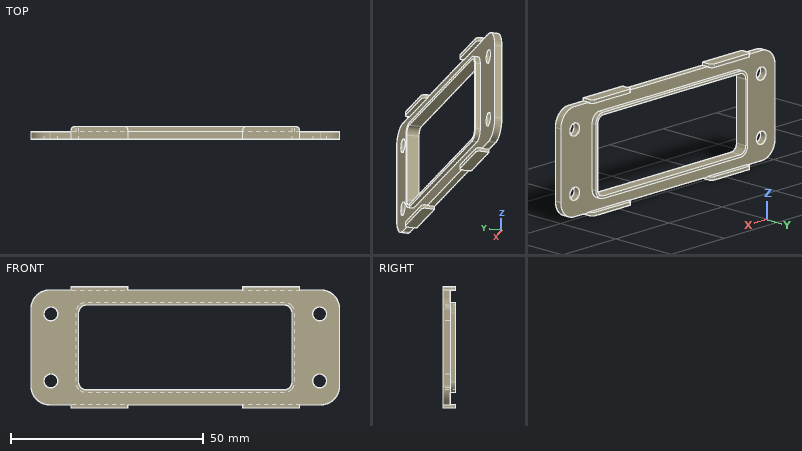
import cadquery as cq

plate_length = 80.4
plate_height = 30.0
plate_thickness = 2.0
plate_corner_radius = 5.0

total_depth = 3.4
total_height = 31.6

window_length = 55.5
window_height = 22.0
window_corner_radius = 2.0
rim_wall = 0.7

tab_length = 14.8
tab_center_x = 22.35
tab_corner_radius = 1.0
tab_thickness = 1.0

hole_diameter = 3.5
hole_spacing_x = 69.95
hole_spacing_z = 17.45

front_y = -total_depth / 2


def rounded_slab(length, height, depth, corner_radius):
    """Rounded rectangle in XZ, extruded rearward from the front face."""
    slab = cq.Workplane("XY").box(length, depth, height).edges("|Y").fillet(corner_radius)
    return slab.translate((0, front_y + depth / 2, 0))


def edge_tab(x, side):
    """Tab on the top (side = 1) or bottom (side = -1) edge, with rounded rear corners."""
    z = side * (total_height - tab_thickness) / 2
    tab = cq.Workplane("XY").box(tab_length, total_depth, tab_thickness)
    tab = tab.edges("|Z and >Y").fillet(tab_corner_radius)
    return tab.translate((x, 0, z))


plate = rounded_slab(plate_length, plate_height, plate_thickness, plate_corner_radius)
rim = rounded_slab(
    window_length + 2 * rim_wall,
    window_height + 2 * rim_wall,
    total_depth,
    window_corner_radius + rim_wall,
)
body = plate.union(rim)

for side in (-1, 1):
    for x in (-tab_center_x, tab_center_x):
        body = body.union(edge_tab(x, side))

window = rounded_slab(window_length, window_height, total_depth, window_corner_radius)
body = body.cut(window)

holes = (
    cq.Workplane("XZ")
    .rarray(hole_spacing_x, hole_spacing_z, 2, 2)
    .circle(hole_diameter / 2)
    .extrude(total_depth, both=True)
)
result = body.cut(holes)